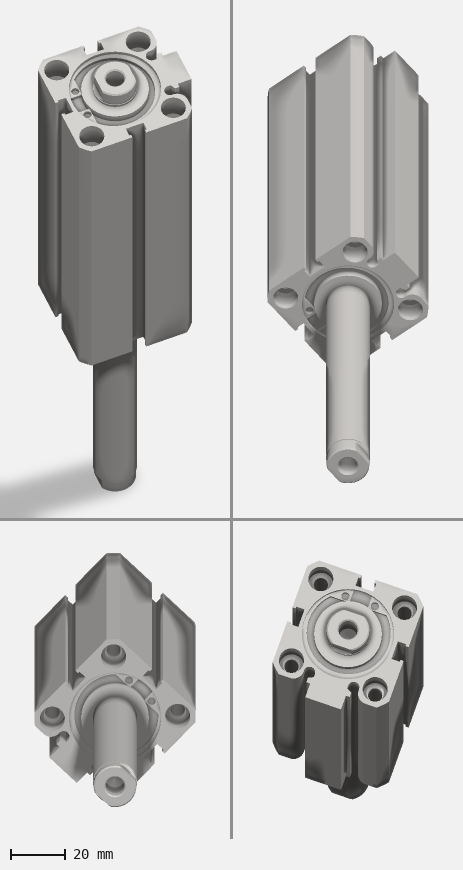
import cadquery as cq
import math

total_length = 247.0
body_width = 45.0
body_length = 133.1
top_extension = 7.0
half_width = body_width / 2
body_top = total_length - top_extension
body_bottom = body_top - body_length
body_middle = (body_bottom + body_top) / 2

corner_radius = 29.5
bore_radius = 16.8
slot_floor = 18.0
slot_half_width = 3.5
mouth_half_width = 2.7
mouth_depth = 1.2
rail_half_width = 7.0
rail_top = 27.5
lip_half_width = 8.5
lip_top = 22.0
lip_bottom = 20.3
neck_half_width = 6.5
neck_top = 19.3
groove_outer_x = 10.5
groove_radius = (groove_outer_x - neck_half_width) / 2
groove_floor = 16.0
lug_round = 4.0

hole_pitch = 32.4
hole_diameter = 5.2
counterbore_diameter = 9.1
counterbore_depth = 10.0

ring_inset = 1.5
ring_thickness = 1.5
ring_diameter = 35.8
ring_radius = ring_diameter / 2
ring_inner_radius = 15.3
ring_inner_shift = 0.7
ear_inner_y = 11.5
ear_gap_half_width = 3.5
ear_hole_x = 5.7
ear_hole_y = 13.3
ear_hole_diameter = 3.0

boss_radius = 12.4
cover_flange_length = 12.4

rod_diameter = 16.0
rod_radius = rod_diameter / 2
rod_end_diameter = 15.5
rod_end_length = 6.0
rod_chamfer = 0.5
flat_distance = 6.7
flat_length = 5.0
thread_hole_radius = 3.5
thread_hole_depth = 13.0
thread_chamfer = 0.5
drill_point_angle = 118.0


def mirrored_to_bottom_end(body):
    """Copy of a body for the opposite housing end."""
    return body.mirror("XY", (0, 0, body_middle))


def both_ends(body):
    """The solid at the top housing end and its separate copy at the bottom end."""
    return [place.solids().val() for place in (body, mirrored_to_bottom_end(body))]


def housing_outline():
    """Section of the housing without the slots."""
    corner_edge = math.sqrt(corner_radius**2 - half_width**2)
    corner_middle = corner_radius / math.sqrt(2)
    groove_centre_y = groove_floor + groove_radius
    groove_centre_x = neck_half_width + groove_radius
    arc_middle = lug_round * (1 - math.sqrt(0.5))
    right_side = [
        ("line", (corner_edge, -half_width)),
        ("arc", (corner_middle, -corner_middle), (half_width, -corner_edge)),
        ("line", (half_width, corner_edge)),
        ("arc", (corner_middle, corner_middle), (corner_edge, half_width)),
        ("line", (groove_outer_x + lug_round, half_width)),
        ("arc", (groove_outer_x + arc_middle, half_width - arc_middle),
         (groove_outer_x, half_width - lug_round)),
        ("line", (groove_outer_x, groove_centre_y)),
        ("arc", (groove_centre_x, groove_floor), (neck_half_width, groove_centre_y)),
        ("line", (neck_half_width, neck_top)),
        ("line", (lip_half_width, lip_bottom)),
        ("line", (lip_half_width, lip_top)),
        ("line", (rail_half_width, lip_top)),
        ("line", (rail_half_width, rail_top)),
        ("line", (0, rail_top)),
    ]
    sketch = cq.Workplane("XY").workplane(offset=body_bottom).moveTo(0, -half_width)
    for kind, *points in right_side:
        if kind == "line":
            sketch = sketch.lineTo(*points[0])
        else:
            sketch = sketch.threePointArc(*points)
    return sketch.mirrorY()


def slot():
    """T-slot on the -Y side, as a cutting tool."""
    mouth_start = half_width - mouth_depth
    return (
        cq.Workplane("XY").workplane(offset=body_bottom)
        .moveTo(-slot_half_width, -slot_floor)
        .lineTo(slot_half_width, -slot_floor)
        .lineTo(slot_half_width, -mouth_start)
        .lineTo(mouth_half_width, -mouth_start)
        .lineTo(mouth_half_width, -half_width)
        .lineTo(-mouth_half_width, -half_width)
        .lineTo(-mouth_half_width, -mouth_start)
        .lineTo(-slot_half_width, -mouth_start)
        .close()
        .extrude(body_length)
    )


def ring_blank():
    """Full disc filling the ring groove at the top end."""
    return (
        cq.Workplane("XY").workplane(offset=body_top - ring_inset - ring_thickness)
        .circle(ring_radius)
        .extrude(ring_thickness)
    )


def corner_cylinders(diameter, start, height):
    """Four upright cylinders at the mounting hole places."""
    return (
        cq.Workplane("XY").workplane(offset=start)
        .rect(hole_pitch, hole_pitch, forConstruction=True).vertices()
        .circle(diameter / 2).extrude(height)
    )


def mounting_hole_tools():
    """Through holes with a counterbore at both ends."""
    tools = corner_cylinders(hole_diameter, body_bottom, body_length)
    for start in (body_bottom, body_top - counterbore_depth):
        counterbores = corner_cylinders(counterbore_diameter, start, counterbore_depth)
        tools = tools.union(counterbores)
    return tools


def make_housing():
    body = housing_outline().extrude(body_length)
    for angle in (-90, 0, 90):
        body = body.cut(slot().rotate((0, 0, 0), (0, 0, 1), angle))
    bore = cq.Workplane("XY").workplane(offset=body_bottom).circle(bore_radius).extrude(body_length)
    return (
        body.cut(bore)
        .cut(ring_blank())
        .cut(mirrored_to_bottom_end(ring_blank()))
        .cut(mounting_hole_tools())
    )


def make_cover():
    """Top end cover: a flange under the ring and a boss level with the housing end."""
    shoulder = body_top - ring_inset - ring_thickness
    flange = (
        cq.Workplane("XY").workplane(offset=shoulder - cover_flange_length)
        .circle(bore_radius).extrude(cover_flange_length)
    )
    boss = (
        cq.Workplane("XY").workplane(offset=shoulder)
        .circle(boss_radius).extrude(body_top - shoulder)
    )
    rod_hole = (
        cq.Workplane("XY").workplane(offset=shoulder - cover_flange_length)
        .circle(rod_radius).extrude(cover_flange_length + body_top - shoulder)
    )
    return flange.union(boss).cut(rod_hole)


def make_retaining_ring():
    """Top retaining ring with two drilled ears beside a gap on the -Y side."""
    base = cq.Workplane("XY").workplane(offset=body_top - ring_inset - ring_thickness)
    opening = base.center(0, -ring_inner_shift).circle(ring_inner_radius).extrude(ring_thickness)
    ear_depth = ring_radius - ear_inner_y
    ears = (
        base.center(0, -ear_inner_y - ear_depth / 2)
        .rect(2 * ring_radius, ear_depth).extrude(ring_thickness)
    )
    boss = base.circle(boss_radius).extrude(ring_thickness)
    gap = (
        base.center(0, -ring_radius)
        .rect(2 * ear_gap_half_width, 2 * (ring_radius - ear_inner_y))
        .extrude(ring_thickness)
    )
    ear_holes = (
        base.pushPoints([(-ear_hole_x, -ear_hole_y), (ear_hole_x, -ear_hole_y)])
        .circle(ear_hole_diameter / 2).extrude(ring_thickness)
    )
    return ring_blank().cut(opening.cut(ears)).cut(boss).cut(gap).cut(ear_holes)


def rod_end_tools():
    """Wrench flats with a 45 degree run-out and a drilled, chamfered hole, for the top rod end."""
    run_out = rod_radius - flat_distance
    flat = (
        cq.Workplane("YZ").workplane(offset=-rod_radius)
        .moveTo(flat_distance, total_length)
        .lineTo(flat_distance, total_length - flat_length)
        .lineTo(rod_radius, total_length - flat_length - run_out)
        .lineTo(rod_radius, total_length)
        .close()
        .extrude(2 * rod_radius)
    )
    hole_bottom = total_length - thread_hole_depth
    point_height = thread_hole_radius / math.tan(math.radians(drill_point_angle / 2))
    hole = (
        cq.Workplane("XZ")
        .moveTo(0, total_length)
        .lineTo(thread_hole_radius + thread_chamfer, total_length)
        .lineTo(thread_hole_radius, total_length - thread_chamfer)
        .lineTo(thread_hole_radius, hole_bottom)
        .lineTo(0, hole_bottom - point_height)
        .close()
        .revolve(360, (0, 0, 0), (0, 1, 0))
    )
    return flat, flat.mirror("XZ"), hole


def make_rod():
    rod = (
        cq.Workplane("XY").circle(rod_end_diameter / 2).extrude(total_length)
        .faces("<Z or >Z").chamfer(rod_chamfer)
    )
    shank = (
        cq.Workplane("XY").workplane(offset=rod_end_length)
        .circle(rod_radius).extrude(total_length - 2 * rod_end_length)
    )
    rod = rod.union(shank)
    for tool in rod_end_tools():
        rod = rod.cut(tool).cut(tool.mirror("XY", (0, 0, total_length / 2)))
    return rod


housing = make_housing()
rod = make_rod()
covers = both_ends(make_cover())
retaining_rings = both_ends(make_retaining_ring())

result = cq.Compound.makeCompound([
    housing.solids().val(),
    rod.solids().val(),
    *covers,
    *retaining_rings,
])